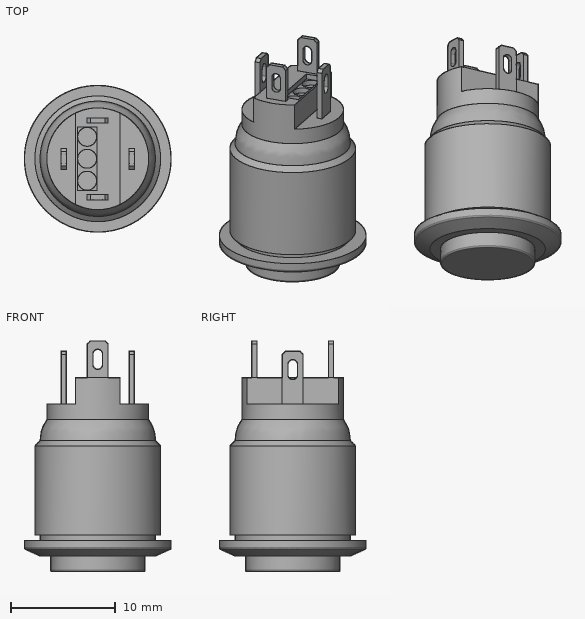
import cadquery as cq
import math

button_radius = 9.0 / 2
flange_radius = 14.0 / 2
neck_radius = 11 / 2
body_radius = 12.0 / 2
collar_radius = 9.7 / 2

total_height = 22
button_height = 1.5
flange_rim_bottom = 2.18
flange_top = 3.0
neck_top = 3.5
shoulder_bottom = 12.0
shoulder_top = 12.5
collar_bottom = 14.5
collar_top = 16.0
block_top = 18.5

button_fillet = 0.15
flange_fillet = 0.18

block_width = 4.27
well_diameter = 1.8
well_count = 3
well_pitch = 2.1
well_depth = 0.5
pocket_center_x = -1.01
pocket_clearance = 0.02
pocket_depth = 0.5
pocket_width = well_diameter + 2 * pocket_clearance
pocket_length = (well_count - 1) * well_pitch + pocket_width

tab_width = 2.0
tab_thickness = 0.5
tab_chamfer = 0.3
tab_root = 0.22
slot_width = 0.9
slot_length = 1.9
slot_center_below_tip = 1.75
side_tab_tip = 21.0
side_tab_offset = 3.23
block_tab_offset = 3.65


def make_housing():
    """Button, flange, neck, body, dome and collar as one revolved profile."""
    dome_rise = collar_bottom - shoulder_top
    dome_inset = neck_radius - collar_radius
    dome_arc_radius = (dome_rise**2 + dome_inset**2) / (2 * dome_inset)
    half_angle = math.asin(dome_rise / dome_arc_radius) / 2
    dome_middle = (
        neck_radius - dome_arc_radius * (1 - math.cos(half_angle)),
        shoulder_top + dome_arc_radius * math.sin(half_angle),
    )
    housing = (
        cq.Workplane("XZ")
        .moveTo(0, 0)
        .lineTo(button_radius, 0)
        .lineTo(button_radius, button_height)
        .lineTo(neck_radius, button_height)
        .lineTo(flange_radius, flange_rim_bottom)
        .lineTo(flange_radius, flange_top)
        .lineTo(neck_radius, flange_top)
        .lineTo(neck_radius, neck_top)
        .lineTo(body_radius, neck_top)
        .lineTo(body_radius, shoulder_bottom)
        .lineTo(neck_radius, shoulder_top)
        .threePointArc(dome_middle, (collar_radius, collar_bottom))
        .lineTo(collar_radius, collar_top)
        .lineTo(0, collar_top)
        .close()
        .revolve(360, (0, 0), (0, 1))
    )
    housing = housing.faces("<Z").edges().fillet(button_fillet)
    widest = cq.selectors.RadiusNthSelector(-1)
    lower_rim = housing.edges("%CIRCLE").edges(widest).edges("<Z")
    return lower_rim.fillet(flange_fillet)


def make_terminal_block():
    """Slice of the collar cylinder that carries a pocket with a row of round wells."""
    block_height = block_top - collar_top
    base = cq.Workplane("XY").workplane(offset=collar_top)
    block = base.circle(collar_radius).extrude(block_height)
    slab = base.rect(block_width, 2 * collar_radius).extrude(block_height)
    block = block.intersect(slab)

    pocket_floor = cq.Workplane("XY", origin=(pocket_center_x, 0, block_top - pocket_depth))
    pocket = pocket_floor.rect(pocket_width, pocket_length).extrude(pocket_depth)
    wells = (
        pocket_floor.rarray(0.22, well_pitch, 1, well_count)
        .circle(well_diameter / 2)
        .extrude(-well_depth)
    )
    return block.cut(pocket).cut(wells)


def make_tab(seat, tip, offset, angle):
    """Slotted terminal facing along -Y at the given offset, turned about Z."""
    root = seat - tab_root
    height = tip - root
    tab = (
        cq.Workplane("XY", origin=(0, -offset, root))
        .rect(tab_width, tab_thickness)
        .extrude(height)
        .faces(">Z")
        .edges("|Y")
        .chamfer(tab_chamfer)
    )
    slot = (
        cq.Workplane("XZ", origin=(0, -offset, tip - slot_center_below_tip))
        .slot2D(slot_length, slot_width, 90)
        .extrude(tab_thickness, both=True)
    )
    return tab.cut(slot).rotate((0, 0, 0), (0, 0, 1), angle)


result = make_housing().union(make_terminal_block())
for half_turn in (0, 180):
    block_tab = make_tab(block_top, total_height, block_tab_offset, half_turn)
    side_tab = make_tab(collar_top, side_tab_tip, side_tab_offset, half_turn + 90)
    result = result.union(block_tab).union(side_tab)